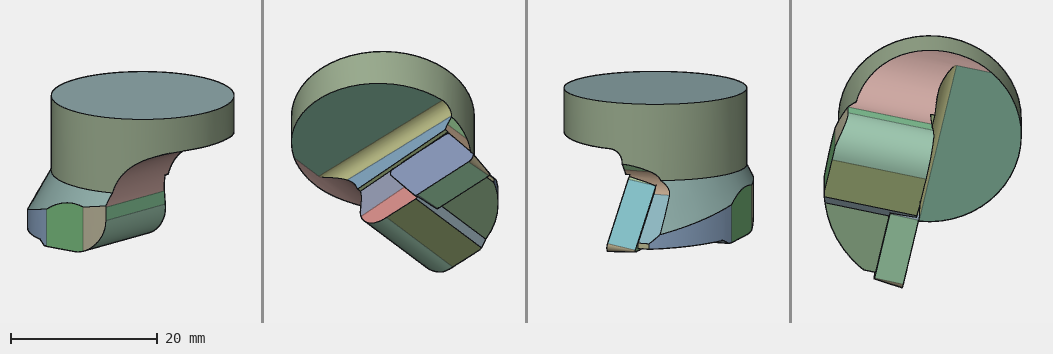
import cadquery as cq
import math


HEAD_DIAMETER = 25.0
HEAD_RADIUS = HEAD_DIAMETER / 2
TOTAL_HEIGHT = 20.0
HEAD_BOTTOM_Z = -10.58
FLARE_ANGLE = 29.0
SKIRT_RADIUS = 15.45
SKIRT_X = -1.75
SKIRT_Y = 1.47
FRONT_FLAT_Y = -13.6

THROAT_RADIUS = 7.65
THROAT_TOP_Z = -4.8
NECK_RIGHT_X = HEAD_RADIUS - THROAT_RADIUS
HEEL_RADIUS = 5.1
HEEL_TOP_Z = -14.32

CHIP_FACE_Y = -0.47
CHIP_ROOF_MID_Z = -5.67
CHIP_ROOF_ANGLE = 3.7
CHIP_FILLET = 1.75
STEP_Z = -10.08

SOLE_ANGLE = 2.5
SOLE_DROP = 0.15
RELIEF_HEIGHT = 0.53
RELIEF_INNER_X = -5.75
RELIEF_RAMP = 1.15
TOE_X = -15.44

INSERT_EDGE = 11.6
INSERT_ANGLE = 55.0
INSERT_THICKNESS = 3.97
INSERT_NOSE_RADIUS = 0.8
INSERT_FLANK_ANGLE = 8.5
INSERT_TILT = 5.7
NOSE_X = -16.9
RAKE_Y = -0.05

POCKET_DIAMETER = 5.25
POCKET_RADIUS = POCKET_DIAMETER / 2
POCKET_X = -13.73
POCKET_Z = -11.05
POCKET_RUNOUT_ANGLE = 50.0

BIG = 2 * TOTAL_HEIGHT


def along_y(sketch):
    """Extrude an XZ outline through the whole part in Y."""
    return sketch.extrude(BIG, both=True)


def make_blank():
    """Round head with the flare below it, trimmed by the skirt and the front flat."""
    flare_height = TOTAL_HEIGHT + HEAD_BOTTOM_Z
    flare_radius = HEAD_RADIUS + flare_height * math.tan(math.radians(FLARE_ANGLE))
    blank = (
        cq.Workplane("XZ")
        .lineTo(HEAD_RADIUS, 0)
        .lineTo(HEAD_RADIUS, HEAD_BOTTOM_Z)
        .lineTo(flare_radius, -TOTAL_HEIGHT)
        .lineTo(0, -TOTAL_HEIGHT)
        .close()
        .revolve(360, (0, 0), (0, 1))
    )
    skirt = cq.Workplane("XY").center(SKIRT_X, SKIRT_Y).circle(SKIRT_RADIUS).extrude(-TOTAL_HEIGHT)
    beyond_flat = cq.Workplane("XY").box(BIG, BIG, 2 * BIG).translate((0, FRONT_FLAT_Y - BIG / 2, 0))
    return blank.intersect(skirt).cut(beyond_flat)


def sole_z(x):
    """Height of the sloping underside, which rises to the right from the insert nose."""
    return -TOTAL_HEIGHT + (x - NOSE_X) * math.tan(math.radians(SOLE_ANGLE))


def make_profile_clearance():
    """Concave throat, upright wall, convex heel and sloping sole with its relief and toe."""
    diagonal = math.sqrt(0.5)
    throat_z = THROAT_TOP_Z - THROAT_RADIUS
    heel_x = NECK_RIGHT_X - HEEL_RADIUS
    heel_bottom_z = HEEL_TOP_Z - HEEL_RADIUS
    relief_outer_x = RELIEF_INNER_X - RELIEF_RAMP
    return along_y(
        cq.Workplane("XZ")
        .moveTo(BIG, THROAT_TOP_Z)
        .lineTo(HEAD_RADIUS, THROAT_TOP_Z)
        .threePointArc(
            (HEAD_RADIUS - THROAT_RADIUS * diagonal, throat_z + THROAT_RADIUS * diagonal),
            (NECK_RIGHT_X, throat_z),
        )
        .lineTo(NECK_RIGHT_X, HEEL_TOP_Z)
        .threePointArc(
            (heel_x + HEEL_RADIUS * diagonal, HEEL_TOP_Z - HEEL_RADIUS * diagonal),
            (heel_x, heel_bottom_z),
        )
        .lineTo(RELIEF_INNER_X, sole_z(RELIEF_INNER_X) - SOLE_DROP)
        .lineTo(relief_outer_x, sole_z(relief_outer_x) + RELIEF_HEIGHT)
        .lineTo(TOE_X, sole_z(TOE_X) + RELIEF_HEIGHT)
        .lineTo(TOE_X, HEAD_BOTTOM_Z)
        .lineTo(-BIG, HEAD_BOTTOM_Z)
        .lineTo(-BIG, -BIG)
        .lineTo(BIG, -BIG)
        .close()
    )


def make_chip_space():
    """Space behind the chip face, with a sloping roof and a rounded inner corner."""
    return (
        cq.Workplane("XY")
        .box(2 * BIG, BIG, BIG, centered=(True, False, False))
        .translate((0, CHIP_FACE_Y, -BIG))
        .edges("<Y and >Z")
        .fillet(CHIP_FILLET)
        .rotate((0, 0, 0), (0, 1, 0), -CHIP_ROOF_ANGLE)
        .translate((0, 0, CHIP_ROOF_MID_Z))
    )


def make_side_pocket():
    """Round pocket running tangentially into a seat plane parallel to the insert edge."""
    seat_angle = math.radians(INSERT_ANGLE + SOLE_ANGLE)
    tangent_x = POCKET_X + POCKET_RADIUS * math.sin(seat_angle)
    tangent_z = POCKET_Z - POCKET_RADIUS * math.cos(seat_angle)
    end_x = tangent_x - BIG * math.cos(seat_angle)
    end_z = tangent_z - BIG * math.sin(seat_angle)
    runout_angle = math.radians(POCKET_RUNOUT_ANGLE)
    runout_x = POCKET_X + POCKET_RADIUS * math.sin(runout_angle)
    runout_z = POCKET_Z + POCKET_RADIUS * math.cos(runout_angle)
    exit_z = runout_z + (runout_x - POCKET_X) * math.tan(runout_angle)
    round_part = along_y(cq.Workplane("XZ").center(POCKET_X, POCKET_Z).circle(POCKET_RADIUS))
    seat_part = along_y(
        cq.Workplane("XZ")
        .moveTo(POCKET_X, POCKET_Z)
        .lineTo(tangent_x, tangent_z)
        .lineTo(end_x, end_z)
        .lineTo(-BIG, POCKET_Z)
        .close()
    )
    runout_part = along_y(
        cq.Workplane("XZ")
        .moveTo(POCKET_X, POCKET_Z)
        .lineTo(runout_x, runout_z)
        .lineTo(POCKET_X, exit_z)
        .close()
    )
    return round_part.union(seat_part).union(runout_part)


def make_rake_clearance():
    """Space in front of the rake plane, which sets the holder back flush with the insert."""
    slope = math.tan(math.radians(INSERT_TILT))
    step_y = RAKE_Y - (STEP_Z + TOTAL_HEIGHT) * slope
    return (
        cq.Workplane("YZ")
        .moveTo(BIG, STEP_Z)
        .lineTo(step_y, STEP_Z)
        .lineTo(RAKE_Y, -TOTAL_HEIGHT)
        .lineTo(BIG, -TOTAL_HEIGHT)
        .close()
        .extrude(BIG, both=True)
    )


def make_insert():
    """Tilted rhombic cutting plate whose rounded nose is the lowest point of the part."""
    lower = math.radians(SOLE_ANGLE)
    upper = math.radians(SOLE_ANGLE + INSERT_ANGLE)
    bisector = (lower + upper) / 2
    tip_to_center = INSERT_NOSE_RADIUS / math.sin(math.radians(INSERT_ANGLE / 2))
    tip_x = INSERT_NOSE_RADIUS - tip_to_center * math.cos(bisector)
    tip_z = INSERT_NOSE_RADIUS - tip_to_center * math.sin(bisector)
    lower_x = INSERT_EDGE * math.cos(lower)
    lower_z = INSERT_EDGE * math.sin(lower)
    upper_x = INSERT_EDGE * math.cos(upper)
    upper_z = INSERT_EDGE * math.sin(upper)
    outline = cq.Sketch().polygon(
        [
            (tip_x, tip_z),
            (tip_x + lower_x, tip_z + lower_z),
            (tip_x + lower_x + upper_x, tip_z + lower_z + upper_z),
            (tip_x + upper_x, tip_z + upper_z),
            (tip_x, tip_z),
        ]
    ).vertices().fillet(INSERT_NOSE_RADIUS)
    return (
        cq.Workplane("XZ")
        .placeSketch(outline)
        .extrude(INSERT_THICKNESS, taper=INSERT_FLANK_ANGLE)
        .rotate((0, 0, 0), (1, 0, 0), INSERT_TILT)
        .translate((NOSE_X, RAKE_Y, -TOTAL_HEIGHT))
    )


def make_holder(insert):
    """Tool head with its clearances and a recess that fits the insert."""
    return (
        make_blank()
        .cut(make_profile_clearance())
        .cut(make_chip_space())
        .cut(make_rake_clearance())
        .cut(make_side_pocket())
        .cut(insert)
        .solids()
    )


insert = make_insert()
holder = make_holder(insert)

result = cq.Compound.makeCompound([holder.val(), insert.val()])